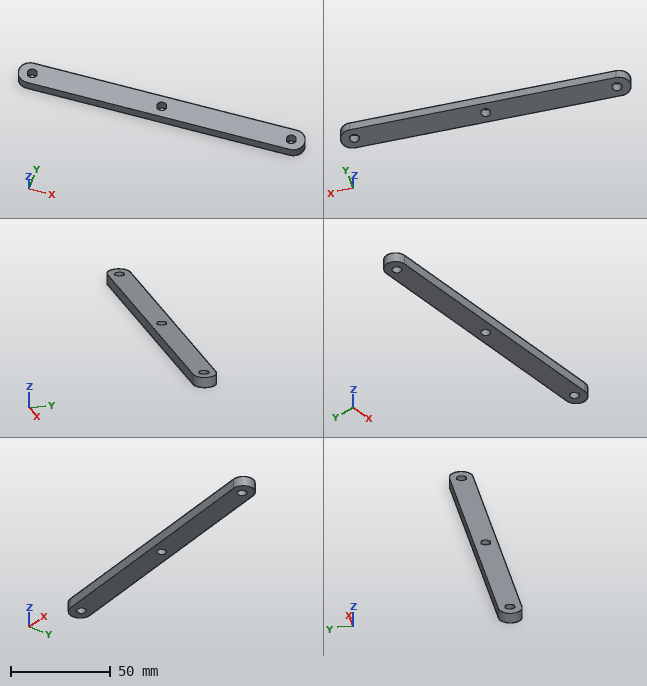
import cadquery as cq

length = 150.0
width = 12.0
thickness = 5.5
hole_diameter = 5.0
hole_spacing = 68.0

bar = cq.Workplane("XY").slot2D(length, width).extrude(thickness / 2, both=True)

hole_centres = [(-hole_spacing, 0), (0, 0), (hole_spacing, 0)]
result = bar.faces(">Z").workplane(origin=(0, 0, 0)).pushPoints(hole_centres).hole(hole_diameter)